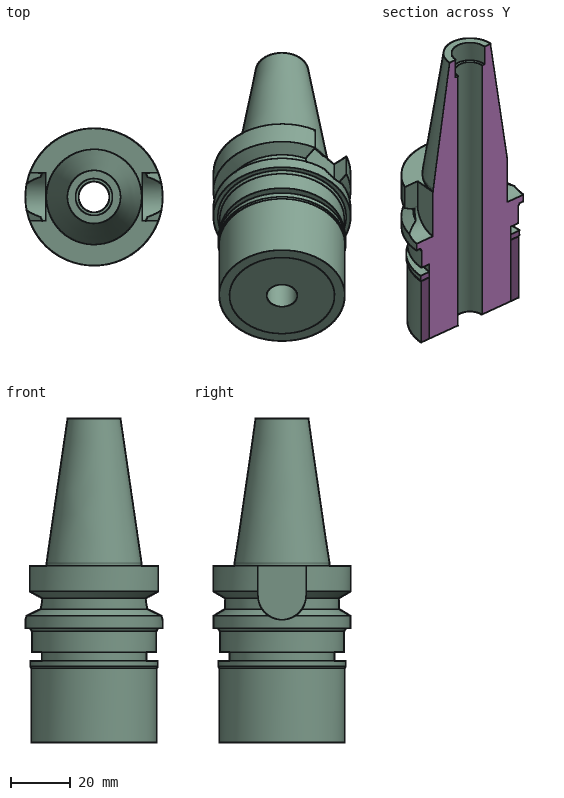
import cadquery as cq

total_height = 108.4
nut_top = 24.8
ring_chamfer_top = 25.5
ring_top = 27.3
collar_bottom = 30.2
collar_top = 37.2
flange_bottom = 38.2
lower_flange_top = 42.4
v_groove_bottom = 44.7
v_groove_top = 48.2
upper_flange_bottom = 50.5
flange_top = 59.1
taper_bottom = 60.0

flange_radius = 23.0
v_groove_radius = 19.1
collar_radius = 20.8
collar_chamfer_radius = 21.5
spindle_radius = 17.6
ring_radius = 21.4
nut_radius = 21.0

taper_ratio = 7 / 24
taper_large_radius = 15.9
taper_small_radius = taper_large_radius - (total_height - taper_bottom) * taper_ratio / 2

bore_radius = 5.1
counterbore_radius = 6.2
counterbore_depth = 7.2

slot_width = 16.0
slot_floor_offset = 16.0
slot_bottom = 41.1


def make_drive_slot(side):
    """Round-bottomed slot cutter, on the +X side for side = 1 or the -X side for side = -1."""
    half_width = slot_width / 2
    arc_centre = slot_bottom + half_width
    return (
        cq.Workplane("YZ", origin=(side * slot_floor_offset, 0, 0))
        .moveTo(-half_width, flange_top)
        .lineTo(-half_width, arc_centre)
        .threePointArc((0, slot_bottom), (half_width, arc_centre))
        .lineTo(half_width, flange_top)
        .close()
        .extrude(side * flange_radius)
    )


def make_holder():
    """Taper shank, V-grooved flange, collar and the spindle that carries the ring and nut."""
    profile = [
        (0, 0),
        (spindle_radius, 0),
        (spindle_radius, collar_bottom),
        (collar_radius, collar_bottom),
        (collar_radius, collar_top),
        (collar_chamfer_radius, flange_bottom),
        (flange_radius, flange_bottom),
        (flange_radius, lower_flange_top),
        (v_groove_radius, v_groove_bottom),
        (v_groove_radius, v_groove_top),
        (flange_radius, upper_flange_bottom),
        (flange_radius, flange_top),
        (taper_large_radius, flange_top),
        (taper_large_radius, taper_bottom),
        (taper_small_radius, total_height),
        (0, total_height),
    ]
    body = cq.Workplane("XZ").polyline(profile).close().revolve(360, (0, 0), (0, 1))

    bore = cq.Workplane("XY").circle(bore_radius).extrude(total_height)
    counterbore = (
        cq.Workplane("XY", origin=(0, 0, total_height - counterbore_depth))
        .circle(counterbore_radius)
        .extrude(counterbore_depth)
    )
    body = body.cut(bore).cut(counterbore)

    for side in (-1, 1):
        body = body.cut(make_drive_slot(side))
    return body


def make_ring():
    """Retaining ring around the spindle, chamfered down to the nut radius."""
    profile = [
        (spindle_radius, nut_top),
        (nut_radius, nut_top),
        (ring_radius, ring_chamfer_top),
        (ring_radius, ring_top),
        (spindle_radius, ring_top),
    ]
    return cq.Workplane("XZ").polyline(profile).close().revolve(360, (0, 0), (0, 1))


def make_nut():
    """Plain clamping sleeve around the spindle, below the ring."""
    return cq.Workplane("XY").circle(nut_radius).circle(spindle_radius).extrude(nut_top)


holder = make_holder()
ring = make_ring()
nut = make_nut()

result = cq.Compound.makeCompound([holder.val(), ring.val(), nut.val()])